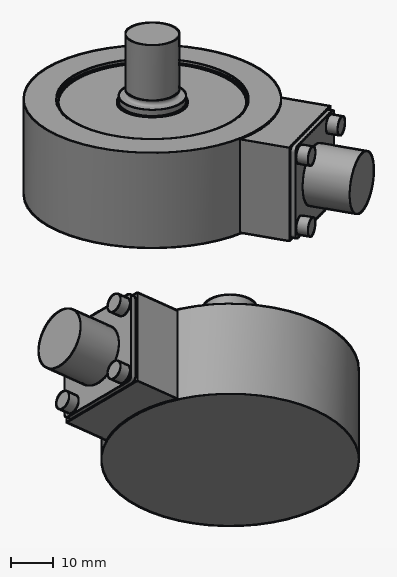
import cadquery as cq

housing_diameter = 60.3
housing_height = 24.55
recess_diameter = 45.0
recess_depth = 0.8
recess_floor = housing_height - recess_depth

trough_outer_diameter = 43.9
trough_inner_diameter = 16.6
trough_depth = 0.15

stem_diameter = 12.7
stem_top = 41.3
neck_diameter = 11.3
undercut_width = 1.7
flange_diameter = 15.8
flange_rise = 0.8
flange_top = housing_height + flange_rise

connector_angle = 30
block_width = 25.2
block_height = 24.1
block_reach = 39.8

plate_size = 23.75
plate_thickness = 1.3
plate_corner_radius = 1.3
plate_face = block_reach + plate_thickness
barrel_diameter = 15.0
barrel_reach = 52.9
screw_head_diameter = 4.6
screw_head_height = 2.95
screw_spacing = 18.25


def outward_workplane(reach):
    """Workplane at mid-height facing +X, at the given distance from the housing axis."""
    return cq.Workplane("YZ", origin=(reach, 0, housing_height / 2))


def turn_to_connector(shape):
    """Turn a shape built along +X to the direction of the connector."""
    return shape.rotate((0, 0, 0), (0, 0, 1), connector_angle)


def make_can():
    """Round can with the recess and the trough in its floor."""
    can = cq.Workplane("XY").circle(housing_diameter / 2).extrude(housing_height)
    recess = (
        cq.Workplane("XY", origin=(0, 0, recess_floor))
        .circle(recess_diameter / 2)
        .extrude(recess_depth)
    )
    trough = (
        cq.Workplane("XY", origin=(0, 0, recess_floor - trough_depth))
        .circle(trough_outer_diameter / 2)
        .circle(trough_inner_diameter / 2)
        .extrude(trough_depth)
    )
    return can.cut(recess).cut(trough)


def make_stem():
    """Turned stem: flange, round undercut and plain shank."""
    stem_radius = stem_diameter / 2
    return (
        cq.Workplane("XZ")
        .moveTo(0, 0)
        .lineTo(flange_diameter / 2, 0)
        .lineTo(flange_diameter / 2, flange_top)
        .lineTo(stem_radius, flange_top)
        .threePointArc(
            (neck_diameter / 2, flange_top + undercut_width / 2),
            (stem_radius, flange_top + undercut_width),
        )
        .lineTo(stem_radius, stem_top)
        .lineTo(0, stem_top)
        .close()
        .revolve(360, (0, 0, 0), (0, 1, 0))
    )


def make_block():
    """Rectangular block carrying the connector, sunk into the side of the can."""
    block_start = recess_diameter / 2
    block_length = block_reach - block_start
    block = outward_workplane(block_start).rect(block_width, block_height).extrude(block_length)
    return turn_to_connector(block)


def make_housing():
    """One solid of can, stem and connector block."""
    return make_can().union(make_stem()).union(make_block())


def make_connector():
    """Plate with rounded corners, its barrel and its screw heads."""
    plate = (
        outward_workplane(block_reach)
        .rect(plate_size, plate_size)
        .extrude(plate_thickness)
        .edges("|X")
        .fillet(plate_corner_radius)
    )
    barrel = outward_workplane(plate_face).circle(barrel_diameter / 2).extrude(barrel_reach - plate_face)
    screw_heads = (
        outward_workplane(plate_face)
        .rect(screw_spacing, screw_spacing, forConstruction=True)
        .vertices()
        .circle(screw_head_diameter / 2)
        .extrude(screw_head_height)
    )
    return turn_to_connector(plate.union(barrel).union(screw_heads))


housing = make_housing()
connector = make_connector()

result = cq.Compound.makeCompound([housing.val(), connector.val()])